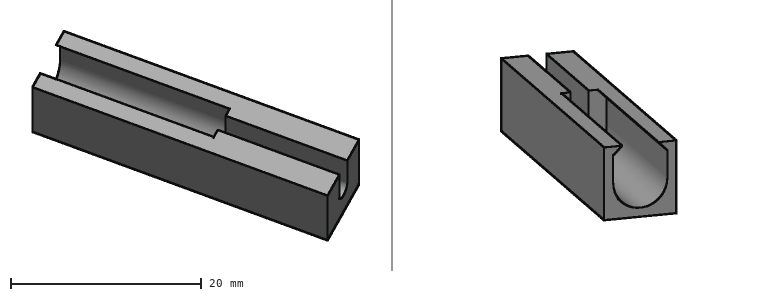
import cadquery as cq

length = 34.0
side = 8.0
top = side / 2

axis_height = 0.0
wide_width = 6.0
wide_length = 20.0
narrow_width = 2.0

mouth_width = 4.0
lip_size = (wide_width - mouth_width) / 2


def channel_cutter(width, run):
    """Round-bottomed, straight-walled cutter starting at the -X end of the bar."""
    half = width / 2
    return (
        cq.Workplane("YZ", origin=(-length / 2, 0, 0))
        .moveTo(-half, top)
        .lineTo(-half, axis_height)
        .threePointArc((0, axis_height - half), (half, axis_height))
        .lineTo(half, top)
        .close()
        .extrude(run)
    )


wide_channel = (
    channel_cutter(wide_width, wide_length)
    .faces(">Z")
    .edges("|X")
    .chamfer(lip_size)
)
narrow_channel = channel_cutter(narrow_width, length)

bar = cq.Workplane("XY").box(length, side, side)
result = bar.cut(wide_channel).cut(narrow_channel)